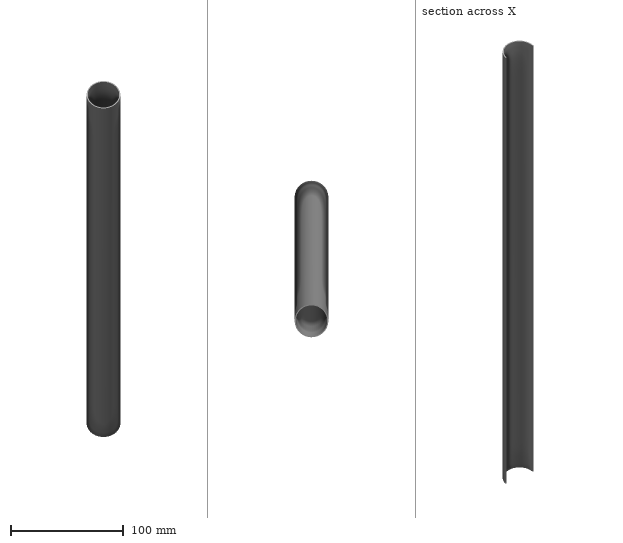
import cadquery as cq

length = 500.0
outer_diameter = 30.0
wall_thickness = 1.0
inner_diameter = outer_diameter - 2 * wall_thickness

result = (
    cq.Workplane("XY")
    .circle(outer_diameter / 2)
    .circle(inner_diameter / 2)
    .extrude(length)
)